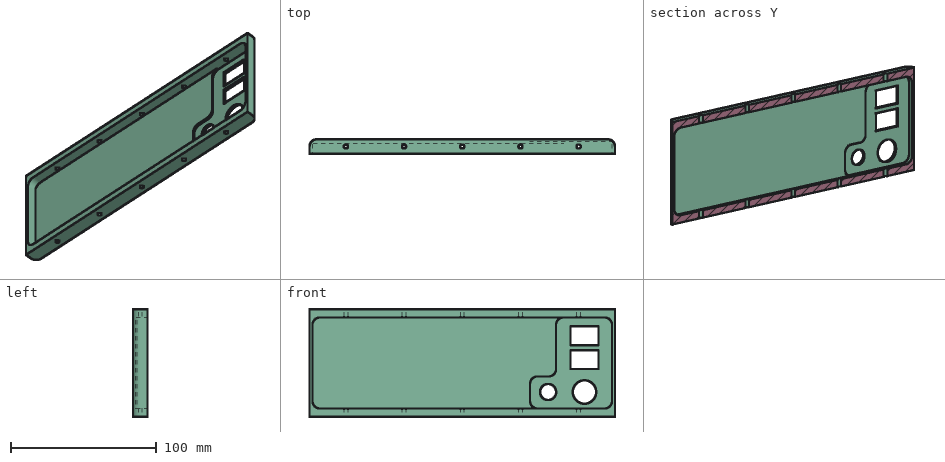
import cadquery as cq

length = 210.0
depth = 10.0
height = 74.0
corner_radius = 5.0

end_wall = 2.0
side_wall = 5.7
pocket_floor = 3.0
recess_floor = 1.7
pocket_length = length - 2 * end_wall
pocket_height = height - 2 * side_wall

recess_left = 46.6
recess_step_x = 64.5
recess_step_z = -9.2
recess_right = pocket_length / 2
recess_top = pocket_height / 2

window_width = 19.1
window_height = 12.8
window_x = 84.0
upper_window_z = 18.7
window_pitch = 16.4
window_count = 2
round_opening_z = -20.0
large_opening_diameter = 16.0
large_opening_x = 84.0
small_opening_diameter = 11.0
small_opening_x = 59.0

screw_diameter = 2.7
screw_count = 5
screw_span = 160.0
screw_pitch = screw_span / (screw_count - 1)

front_y = -depth / 2


def plane_at(y):
    """Plane parallel to the open face, with local axes X and Z and normal +Y."""
    return cq.Workplane(cq.Plane((0, y, 0), xDir=(1, 0, 0), normal=(0, 1, 0)))


def from_front(cut_depth, outline):
    """Solid made by sweeping (x, z) points from the open face, with rounded corners."""
    points = [(x, -z) for x, z in outline]
    return plane_at(front_y).polyline(points).close().extrude(cut_depth).edges("|Y").fillet(corner_radius)


def make_body():
    body = cq.Workplane("XY").box(length, depth, height)
    return body.edges("|Z and >Y").fillet(corner_radius)


def make_pocket():
    half_length = pocket_length / 2
    half_height = pocket_height / 2
    outline = [
        (-half_length, -half_height),
        (half_length, -half_height),
        (half_length, half_height),
        (-half_length, half_height),
    ]
    return from_front(depth - pocket_floor, outline)


def make_recess():
    outline = [
        (recess_left, -recess_top),
        (recess_right, -recess_top),
        (recess_right, recess_top),
        (recess_step_x, recess_top),
        (recess_step_x, recess_step_z),
        (recess_left, recess_step_z),
    ]
    return from_front(depth - recess_floor, outline)


def make_window(z):
    return cq.Workplane("XY").box(window_width, 2 * depth, window_height).translate((window_x, 0, z))


def make_round_opening(x, diameter):
    return plane_at(front_y).center(x, -round_opening_z).circle(diameter / 2).extrude(2 * depth)


def make_screw_holes():
    holes = cq.Workplane("XY").rarray(screw_pitch, 2, screw_count, 1).circle(screw_diameter / 2)
    return holes.extrude(height, both=True)


result = make_body().cut(make_pocket()).cut(make_recess())
for window_index in range(window_count):
    result = result.cut(make_window(upper_window_z - window_index * window_pitch))
result = result.cut(make_round_opening(large_opening_x, large_opening_diameter))
result = result.cut(make_round_opening(small_opening_x, small_opening_diameter))
result = result.cut(make_screw_holes())